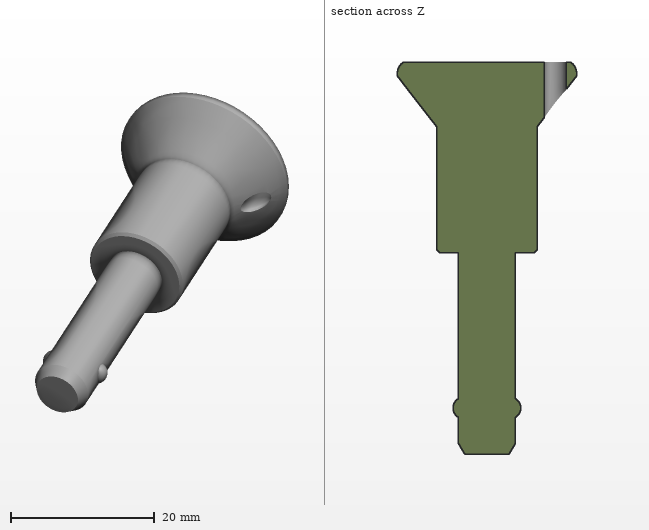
import cadquery as cq

total_length = 54.5
knob_back = total_length / 2
tip_end = -total_length / 2

knob_diameter = 25.0
knob_height = 9.0
back_face_diameter = 23.3
rounded_edge_height = 1.5
rim_width = 0.4

collar_diameter = 14.0
head_length = 26.5
collar_chamfer = 0.4

pin_diameter = 8.0
tip_diameter = 6.2
tip_taper_length = 1.5
spindle_diameter = 3.55

ball_diameter = 3.05
ball_span = 9.5
ball_from_tip = 6.45

lanyard_hole_diameter = 3.0
lanyard_hole_offset = 9.5

knob_radius = knob_diameter / 2
collar_radius = collar_diameter / 2
pin_radius = pin_diameter / 2

edge_inset = (knob_diameter - back_face_diameter) / 2
edge_round_radius = (edge_inset**2 + rounded_edge_height**2) / (2 * edge_inset)


def rod(diameter, start, end, x=0):
    """Cylinder parallel to Y between two Y positions."""
    base = cq.Workplane("XZ", origin=(x, end, 0))
    return base.circle(diameter / 2).extrude(end - start)


def make_turned_body():
    rim_back = knob_back - rounded_edge_height
    head_end = knob_back - head_length
    return (
        cq.Workplane("XY")
        .moveTo(0, knob_back)
        .lineTo(back_face_diameter / 2, knob_back)
        .radiusArc((knob_radius, rim_back), edge_round_radius)
        .lineTo(knob_radius, rim_back - rim_width)
        .lineTo(collar_radius, knob_back - knob_height)
        .lineTo(collar_radius, head_end + collar_chamfer)
        .lineTo(collar_radius - collar_chamfer, head_end)
        .lineTo(pin_radius, head_end)
        .lineTo(pin_radius, tip_end + tip_taper_length)
        .lineTo(tip_diameter / 2, tip_end)
        .lineTo(0, tip_end)
        .close()
        .revolve(360, (0, 0, 0), (0, 1, 0))
    )


def add_balls(body):
    ball_radius = ball_diameter / 2
    ball_x = ball_span / 2 - ball_radius
    ball_y = tip_end + ball_from_tip
    for side in (-1, 1):
        ball = cq.Workplane("XY").sphere(ball_radius).translate((side * ball_x, ball_y, 0))
        body = body.union(ball)
    return body


def cut_lanyard_hole(body):
    return body.cut(rod(lanyard_hole_diameter, tip_end, knob_back, lanyard_hole_offset))


def set_in_spindle_end(body):
    spindle = rod(spindle_diameter, tip_end, tip_end + tip_taper_length)
    return body.cut(spindle).union(spindle, clean=False)


result = make_turned_body()
result = add_balls(result)
result = cut_lanyard_hole(result)
result = set_in_spindle_end(result)